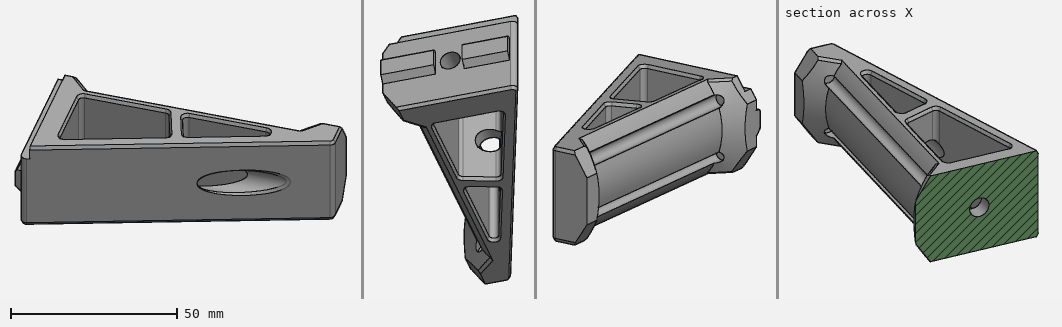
import cadquery as cq
import math

length = 92.0
height = 30.0
top_z = height / 2

plate_x = 2.0
step_x = 5.1
step_depth = 4.4

tab_height = 8.2
tab_top_chamfer = 0.6
tab_spans = ((-16.65, 0.0), (-39.9, -25.7))

hole_y = -21.25
screw_diameter = 6.3
bore_diameter = 8.5
bore_start_x = 16.6
bore_rim_chamfer = 0.6

slope_angle = math.radians(18.4)
slope = math.tan(slope_angle)
front_corner_y = -42.6
corner_radius = 1.7

back_chamfer_y = 5.0
back_chamfer_z = 7.5
edge_chamfer_width = 0.6
edge_chamfer_height = 1.1

window_x = 12.05
window_back_y = -12.5
front_wall = 4.05
strut_x = 40.0
strut_width = 4.05
window_radius = 1.5

saddle_radius = 22.1
saddle_depth = 4.6
saddle_start_x = 13.6
saddle_end_x = 80.0
saddle_end_slope = math.tan(math.radians(50))
saddle_rim_chamfer = 0.7
saddle_axis_y = -saddle_depth - saddle_radius

groove_diameter = 4.3
groove_angle = math.radians(23.8)
groove_overrun = 3.7
groove_inset = 0.7


def front_wall_y(x, inset=0.0):
    """Y of the sloping front wall at x, moved inward by inset."""
    return front_corner_y + (x - plate_x) * slope + inset / math.cos(slope_angle)


def beveled_prism(points, radius, is_rounded, rim_growth):
    """Full-height prism whose top and bottom rims grow outward by rim_growth (inward if negative)."""
    base = cq.Wire.makePolygon([cq.Vector(x, y, 0) for x, y in points], close=True)
    outline = base.fillet2D(radius, [v for v in base.Vertices() if is_rounded(v)])
    rim = outline.offset2D(rim_growth)[0]
    core_z = top_z - edge_chamfer_height
    core = cq.Solid.extrudeLinear(outline, [], cq.Vector(0, 0, 2 * core_z))
    solid = cq.Workplane(core).translate((0, 0, -core_z))
    for side in (-1, 1):
        wires = [outline.translate((0, 0, side * core_z)), rim.translate((0, 0, side * top_z))]
        solid = solid.union(cq.Workplane(cq.Solid.makeLoft(wires, True)))
    return solid


def make_body():
    """Wedge with beveled top and bottom edges and large chamfers along its back."""
    overhang = 1.8
    plan = [
        (plate_x, overhang),
        (plate_x, front_wall_y(plate_x)),
        (length, front_wall_y(length)),
        (length, overhang),
    ]
    wedge = beveled_prism(plan, corner_radius, lambda v: v.Y < 0, -edge_chamfer_width)
    flat_z = top_z - back_chamfer_z
    end_profile = [
        (front_corner_y, -top_z),
        (-back_chamfer_y, -top_z),
        (0, -flat_z),
        (0, flat_z),
        (-back_chamfer_y, top_z),
        (front_corner_y, top_z),
    ]
    return wedge.intersect(cq.Workplane("YZ").polyline(end_profile).close().extrude(length))


def drill_screw_hole(body):
    """Screw hole through the plate, and the access bore that breaks out of the front wall."""
    axis_start = cq.Workplane("YZ", origin=(0, hole_y, 0))
    screw_hole = axis_start.circle(screw_diameter / 2).extrude(bore_start_x)
    bore = axis_start.workplane(offset=bore_start_x).circle(bore_diameter / 2).extrude(length)
    body = body.cut(bore).edges("%ELLIPSE").chamfer(bore_rim_chamfer)
    return body.cut(screw_hole)


def strut_foot(x_at_back):
    """Point where a strut side that starts at x_at_back meets the inside of the front wall."""
    drop = window_back_y - front_wall_y(x_at_back, front_wall)
    y_drop = drop / (1 + slope ** 2)
    return x_at_back + y_drop * slope, window_back_y - y_drop


def make_windows():
    far_strut_x = strut_x + strut_width / math.cos(slope_angle)
    tip_x = plate_x + (window_back_y - front_wall_y(plate_x, front_wall)) / slope
    near_window = [
        (window_x, window_back_y),
        (window_x, front_wall_y(window_x, front_wall)),
        strut_foot(strut_x),
        (strut_x, window_back_y),
    ]
    far_window = [
        (far_strut_x, window_back_y),
        strut_foot(far_strut_x),
        (tip_x, window_back_y),
    ]
    cutters = [
        beveled_prism(outline, window_radius, lambda v: True, edge_chamfer_width)
        for outline in (near_window, far_window)
    ]
    return cutters[0].union(cutters[1])


def make_step():
    return (
        cq.Workplane("XY", origin=(0, 0, top_z - step_depth))
        .rect(2 * step_x, -2 * front_corner_y)
        .extrude(step_depth)
    )


def make_saddle():
    """Ring around the saddle axis, longer toward its rim; only its back part reaches the body."""
    ring_depth = 11.0
    floor_y = saddle_axis_y + saddle_radius
    spread = ring_depth * saddle_end_slope
    return (
        cq.Workplane("XY")
        .polyline([
            (saddle_start_x, floor_y),
            (saddle_end_x, floor_y),
            (saddle_end_x + spread, floor_y + ring_depth),
            (saddle_start_x - spread, floor_y + ring_depth),
        ])
        .close()
        .revolve(360, (0, saddle_axis_y, 0), (1, saddle_axis_y, 0))
    )


def make_grooves():
    """One groove above and one below the middle of the saddle."""
    groove_orbit = saddle_radius - groove_inset
    groove_y = saddle_axis_y + groove_orbit * math.cos(groove_angle)
    groove_z = groove_orbit * math.sin(groove_angle)
    return (
        cq.Workplane("YZ", origin=(saddle_start_x - groove_overrun, 0, 0))
        .pushPoints([(groove_y, groove_z), (groove_y, -groove_z)])
        .circle(groove_diameter / 2)
        .extrude(saddle_end_x - saddle_start_x + 2 * groove_overrun)
    )


def make_tab(low_y, high_y):
    """Tab with a small chamfer on top and a 45 degree slope below."""
    tab_top = tab_height / 2
    profile = [
        (plate_x, -tab_top),
        (0, plate_x - tab_top),
        (0, tab_top - tab_top_chamfer),
        (tab_top_chamfer, tab_top),
        (plate_x, tab_top),
    ]
    return cq.Workplane("XZ", origin=(0, high_y, 0)).polyline(profile).close().extrude(high_y - low_y)


result = drill_screw_hole(make_body())
result = result.cut(make_windows()).cut(make_step())
result = result.cut(make_saddle())
result = result.faces(">Z or <Z").edges("%HYPERBOLA").chamfer(saddle_rim_chamfer)
result = result.cut(make_grooves())
for low_y, high_y in tab_spans:
    result = result.union(make_tab(low_y, high_y))